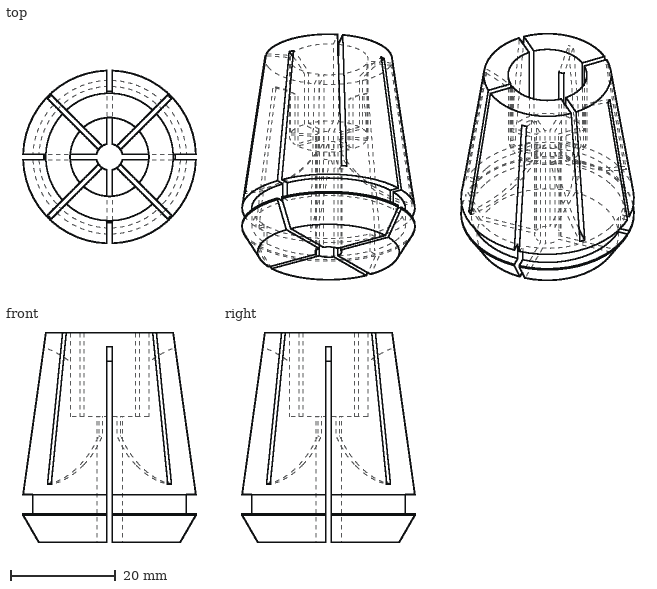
import cadquery as cq
import math

height = 40.0
max_radius = 16.5

nose_angle = math.radians(30)
nose_radius = 13.5
nose_height = (max_radius - nose_radius) / math.tan(nose_angle)
rim_top = 5.5

groove_radius = 14.65
groove_top = 9.1

taper_angle = math.radians(8)
top_radius = max_radius - (height - groove_top) * math.tan(taper_angle)

bore_radius = 2.5
relief_radius = 7.5
relief_depth = 16.0

slot_width = 1.0
slots_per_end = 4
slot_pitch = 360 / slots_per_end
saw_radius = 20.0
saw_center_radius = 19.5
lower_slot_peak = 38.5
upper_slot_floor = 10.8


def make_body():
    """Revolved nose, groove and taper."""
    profile = [
        (0, 0),
        (nose_radius, 0),
        (max_radius, nose_height),
        (max_radius, rim_top),
        (groove_radius, rim_top),
        (groove_radius, groove_top),
        (max_radius, groove_top),
        (top_radius, height),
        (0, height),
    ]
    return cq.Workplane("XZ").polyline(profile).close().revolve(360, (0, 0), (0, 1))


def make_bore():
    """Workpiece bore, relieved to a larger diameter from the top."""
    bore = cq.Workplane("XY").circle(bore_radius).extrude(height)
    relief = (
        cq.Workplane("XY")
        .workplane(offset=height - relief_depth)
        .circle(relief_radius)
        .extrude(relief_depth)
    )
    return bore.union(relief)


def make_slot(arc_end, open_end, angle):
    """Radial slot from the height open_end to an arc whose extreme height is arc_end."""
    toward_open = math.copysign(1, open_end - arc_end)
    center_z = arc_end + toward_open * saw_radius
    inner_radius = saw_center_radius - saw_radius
    diagonal = saw_radius * math.sqrt(0.5)
    arc_middle = (saw_center_radius - diagonal, center_z - toward_open * diagonal)
    return (
        cq.Workplane("XZ")
        .moveTo(saw_center_radius, open_end)
        .lineTo(saw_center_radius, arc_end)
        .threePointArc(arc_middle, (inner_radius, center_z))
        .lineTo(inner_radius, open_end)
        .close()
        .extrude(slot_width / 2, both=True)
        .rotate((0, 0, 0), (0, 0, 1), angle)
    )


result = make_body().cut(make_bore())
for index in range(slots_per_end):
    lower_angle = index * slot_pitch
    upper_angle = lower_angle + slot_pitch / 2
    result = result.cut(make_slot(lower_slot_peak, 0, lower_angle))
    result = result.cut(make_slot(upper_slot_floor, height, upper_angle))